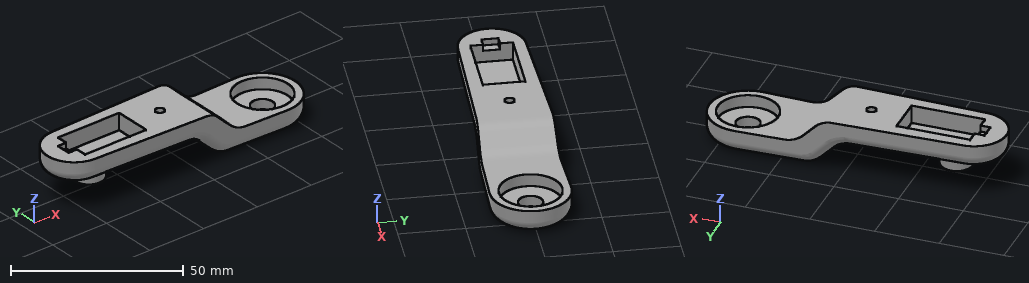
import cadquery as cq
import math

length = 92.0
small_end_radius = 10.0
large_end_diameter = 24.0
thickness = 7.45
step = 8.3
bottom_fillet = 3.4

bend_angle = 45.0
upper_top_corner = 52.9
upper_bottom_corner = 47.9
upper_top_bend_radius = 7.2
lower_top_bend_radius = 8.3
bottom_bend_radius = 7.4

pin_diameter = 10.0
pin_x = 15.45
pin_length = 5.0

pocket_start = 9.0
pocket_length = 22.7
pocket_width = 12.5
pocket_depth = 5.8
notch_length = 3.0
notch_width = 5.0
notch_depth = 2.0

small_hole_diameter = 2.9
small_hole_x = 41.8
bore_diameter = 7.4
counterbore_diameter = 18.6
counterbore_depth = 4.0

large_end_radius = large_end_diameter / 2
small_end_x = small_end_radius
large_end_x = length - large_end_radius
lower_top = thickness
upper_bottom = step
upper_top = step + thickness
slope_run = step / math.tan(math.radians(bend_angle))


def side_profile():
    """Stepped strip in the XZ plane, with sharp bends."""
    return cq.Workplane("XZ").polyline([
        (0, upper_bottom),
        (upper_bottom_corner, upper_bottom),
        (upper_bottom_corner + slope_run, 0),
        (length, 0),
        (length, lower_top),
        (upper_top_corner + slope_run, lower_top),
        (upper_top_corner, upper_top),
        (0, upper_top),
    ]).close()


def round_bend(body, x, z, radius):
    """Round the bend edge that runs along Y through the point (x, z)."""
    reach = 0.1
    edge_finder = cq.selectors.BoxSelector(
        (x - reach, -length, z - reach), (x + reach, length, z + reach))
    return body.edges(edge_finder).fillet(radius)


def tapered_outline():
    """Two end arcs joined by their common tangent lines."""
    tilt = math.asin((large_end_radius - small_end_radius) / (large_end_x - small_end_x))

    def tangent_point(center_x, radius):
        return center_x - radius * math.sin(tilt), radius * math.cos(tilt)

    small_x, small_y = tangent_point(small_end_x, small_end_radius)
    large_x, large_y = tangent_point(large_end_x, large_end_radius)
    return (
        cq.Workplane("XY")
        .moveTo(small_x, -small_y)
        .lineTo(large_x, -large_y)
        .threePointArc((length, 0), (large_x, large_y))
        .lineTo(small_x, small_y)
        .threePointArc((0, 0), (small_x, -small_y))
        .close()
    )


def arm():
    """Stepped arm, tapered in plan, with its whole bottom rim rounded."""
    strip = side_profile().extrude(large_end_diameter, both=True)
    strip = round_bend(strip, upper_top_corner, upper_top, upper_top_bend_radius)
    strip = round_bend(strip, upper_top_corner + slope_run, lower_top, lower_top_bend_radius)
    strip = round_bend(strip, upper_bottom_corner, upper_bottom, bottom_bend_radius)
    strip = round_bend(strip, upper_bottom_corner + slope_run, 0, bottom_bend_radius)
    body = strip.intersect(tapered_outline().extrude(upper_top))
    return body.faces("<Z").edges(">X").fillet(bottom_fillet)


def pin():
    """Round pin, started inside the arm so that the two join."""
    overlap = 0.9
    return (
        cq.Workplane("XY", origin=(pin_x, 0, upper_bottom - pin_length))
        .circle(pin_diameter / 2)
        .extrude(pin_length + overlap)
    )


def recess_cutter(start, size_x, size_y, depth):
    """Rectangular cutter sunk from the upper top face, centred on Y."""
    return cq.Workplane("XY", origin=(start, 0, upper_top - depth)).box(
        size_x, size_y, depth, centered=(False, True, False))


def round_cutter(x, diameter, bottom):
    """Vertical round cutter from the given bottom up past the top of the arm."""
    return cq.Workplane("XY", origin=(x, 0, bottom)).circle(diameter / 2).extrude(upper_top)


result = (
    arm()
    .union(pin())
    .cut(recess_cutter(pocket_start, pocket_length, pocket_width, pocket_depth))
    .cut(recess_cutter(pocket_start - notch_length, notch_length, notch_width, notch_depth))
    .cut(round_cutter(small_hole_x, small_hole_diameter, 0))
    .cut(round_cutter(large_end_x, bore_diameter, 0))
    .cut(round_cutter(large_end_x, counterbore_diameter, lower_top - counterbore_depth))
)